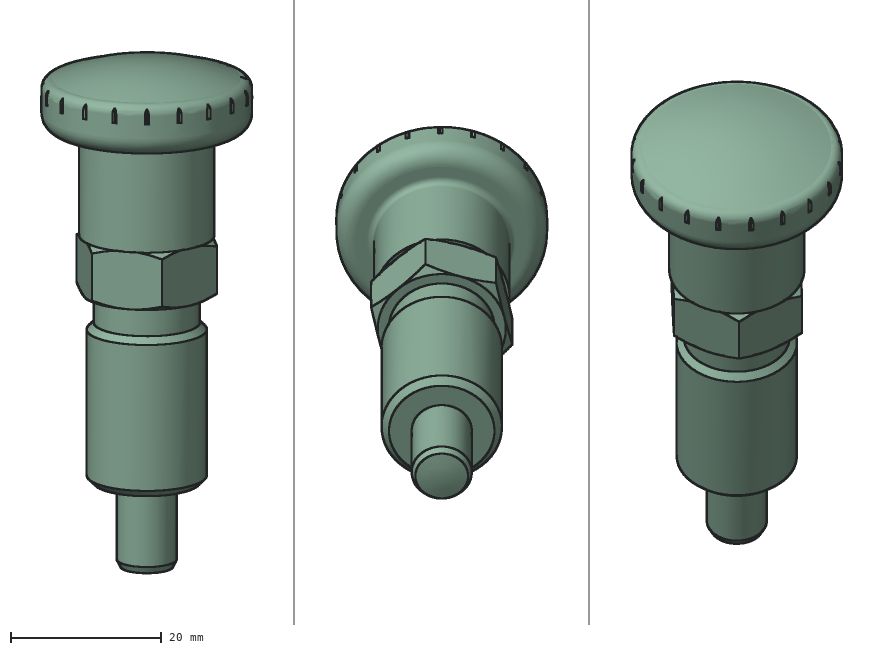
import cadquery as cq
import math


hex_height = 8.0
hex_across_flats = 17.0
hex_across_corners = hex_across_flats / math.cos(math.radians(30))
hex_chamfer_angle = 30.0

body_radius = 8.0
body_length = 26.0
body_chamfer = 1.0
neck_radius = 7.05
neck_length = 4.0

pin_radius = 4.0
pin_projection = 12.0
pin_nose_radius = 3.5
pin_nose_taper_height = 1.0
pin_dome_height = 0.45

sleeve_radius = 9.0
sleeve_length = 14.4
sleeve_fillet = 0.87
head_radius = 14.0
head_lower_fillet = 2.5
head_upper_fillet = 1.45
head_rim_height = 7.15
dome_height = 2.35

groove_count = 20
groove_depth = 0.28
groove_length_below_fillet = 1.1

body_bottom = -body_length
pin_tip = body_bottom - pin_projection
head_bottom = hex_height + sleeve_length
head_rim = head_bottom + head_rim_height
head_top = head_rim + dome_height
head_side_bottom = head_bottom + head_lower_fillet
head_side_top = head_rim - head_upper_fillet


def revolve_about_z(profile):
    """Close a profile drawn as (radius, Z) and turn it about the Z axis."""
    return profile.close().revolve(360, (0, 0, 0), (0, 1, 0))


def cap_midpoint(rim_radius, rim_z, tip_z):
    """Point halfway along the spherical arc from a rim to its tip on the axis."""
    rise = tip_z - rim_z
    sphere_radius = (rim_radius**2 + rise**2) / (2 * abs(rise))
    half_angle = math.asin(rim_radius / sphere_radius) / 2
    drop = sphere_radius * (1 - math.cos(half_angle))
    return sphere_radius * math.sin(half_angle), tip_z - math.copysign(drop, rise)


def fillet_midpoint(center_radius, center_z, radius, angle):
    """Point at the given angle on an arc about (center_radius, center_z)."""
    direction = math.radians(angle)
    return center_radius + radius * math.cos(direction), center_z + radius * math.sin(direction)


def make_hexagon():
    """Hexagon with corners on the X axis and both ends turned to a cone."""
    prism = cq.Workplane("XY").polygon(6, hex_across_corners).extrude(hex_height)
    corner_radius = hex_across_corners / 2
    face_radius = hex_across_flats / 2
    chamfer_drop = (corner_radius - face_radius) * math.tan(math.radians(hex_chamfer_angle))
    envelope = revolve_about_z(
        cq.Workplane("XZ")
        .moveTo(0, 0)
        .lineTo(face_radius, 0)
        .lineTo(corner_radius, chamfer_drop)
        .lineTo(corner_radius, hex_height - chamfer_drop)
        .lineTo(face_radius, hex_height)
        .lineTo(0, hex_height)
    )
    return prism.intersect(envelope)


def make_housing():
    """Hexagon, relieved neck, guide body and locking pin in one piece."""
    nose_rim = pin_tip + pin_dome_height
    shoulder_rise = body_radius - neck_radius
    shank = revolve_about_z(
        cq.Workplane("XZ")
        .moveTo(0, 0)
        .lineTo(neck_radius, 0)
        .lineTo(neck_radius, -neck_length)
        .lineTo(body_radius, -neck_length - shoulder_rise)
        .lineTo(body_radius, body_bottom + body_chamfer)
        .lineTo(body_radius - body_chamfer, body_bottom)
        .lineTo(pin_radius, body_bottom)
        .lineTo(pin_radius, nose_rim + pin_nose_taper_height)
        .lineTo(pin_nose_radius, nose_rim)
        .threePointArc(cap_midpoint(pin_nose_radius, nose_rim, pin_tip), (0, pin_tip))
    )
    return make_hexagon().union(shank).solids()


def make_knob_blank():
    """Sleeve and domed mushroom head, before the grip grooves are cut."""
    lower_center = head_radius - head_lower_fillet
    upper_center = head_radius - head_upper_fillet
    sleeve_fillet_outer = sleeve_radius + sleeve_fillet
    sleeve_fillet_bottom = head_bottom - sleeve_fillet
    return revolve_about_z(
        cq.Workplane("XZ")
        .moveTo(0, hex_height)
        .lineTo(sleeve_radius, hex_height)
        .lineTo(sleeve_radius, sleeve_fillet_bottom)
        .threePointArc(
            fillet_midpoint(sleeve_fillet_outer, sleeve_fillet_bottom, sleeve_fillet, 135),
            (sleeve_fillet_outer, head_bottom),
        )
        .lineTo(lower_center, head_bottom)
        .threePointArc(
            fillet_midpoint(lower_center, head_side_bottom, head_lower_fillet, -45),
            (head_radius, head_side_bottom),
        )
        .lineTo(head_radius, head_side_top)
        .threePointArc(
            fillet_midpoint(upper_center, head_side_top, head_upper_fillet, 45),
            (upper_center, head_rim),
        )
        .threePointArc(cap_midpoint(upper_center, head_rim, head_top), (0, head_top))
    )


def make_grooves():
    """Upright square bars set corner-inward on the head's side, each cutting a 90 degree V."""
    groove_bottom = head_side_top - groove_length_below_fillet
    return (
        cq.Workplane("XY")
        .workplane(offset=groove_bottom)
        .polarArray(head_radius, 0, 360, groove_count)
        .polygon(4, 2 * groove_depth)
        .extrude(head_rim - groove_bottom)
    )


def make_knob():
    """Pull knob resting on the top face of the hexagon."""
    return make_knob_blank().cut(make_grooves()).solids()


housing = make_housing()
knob = make_knob()

result = cq.Compound.makeCompound([housing.val(), knob.val()])